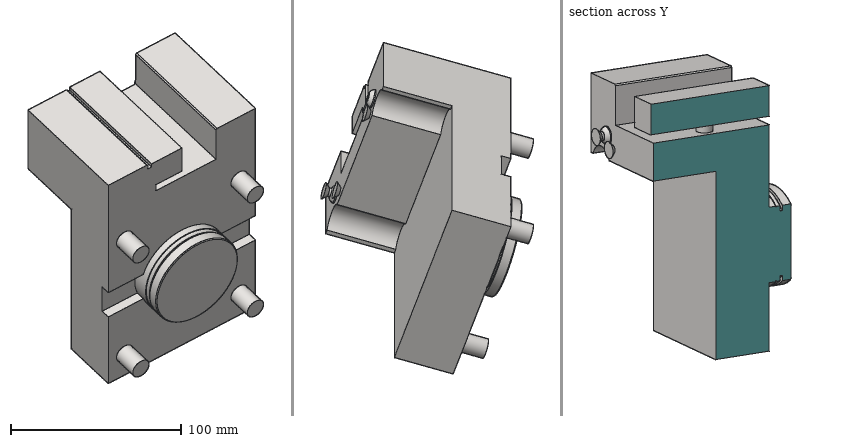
import cadquery as cq
import math


BODY_WIDTH = 108.0
BODY_HEIGHT = 163.5
BODY_DEPTH = 79.0
PLATE_THICKNESS = 36.5
HEAD_UNDERSIDE_Z = 115.0

CHANNEL_WIDTH = 50.0
CHANNEL_DEPTH = 25.0
CHANNEL_FLOOR_Z = BODY_HEIGHT - CHANNEL_DEPTH
CHANNEL_EDGE_CHAMFER = 0.8

BAR_WIDTH = CHANNEL_WIDTH / 2
BAR_OVERHANG = 1.5
BAR_TOP_Z = BODY_HEIGHT - 1.0
BAR_FOOT_WIDTH = 6.0
BAR_GAP = 5.0
BAR_NOTCH_WIDTH = 2.7
BAR_NOTCH_DEPTH = 2.5
SUPPORT_RADIUS = 5.0
SUPPORT_Y = -11.0

SPIGOT_RADIUS = 30.0
SPIGOT_LENGTH = 15.0
SPIGOT_CHAMFER = 0.6
SPIGOT_Z = 65.0
SPIGOT_GROOVE_WIDTH = 1.2
SPIGOT_GROOVE_DEPTH = 2.5
SEAL_START = 4.5
SEAL_WIDTH = 3.0
SEAL_CROWN = 0.5
KEYWAY_WIDTH = 20.0
KEYWAY_DEPTH = 6.0

SCREW_RADIUS = 6.0
SCREW_LENGTH = 16.0
SCREW_SPACING_Y = 84.0
SCREW_SPACING_Z = 94.0
CLEARANCE_RADIUS = 9.75

BUTTON_Y = 35.0
BUTTON_Z = 130.0
BUTTON_RADIUS = 5.5
BUTTON_RIM = 0.8
BUTTON_HEIGHT = 3.3
BUTTON_FLAT_RADIUS = 2.9
BUTTON_DOME_RATIO = 0.1
SOCKET_WIDTH = 4.0
SOCKET_DEPTH = 2.0
COUNTERSUNK_Y = 28.2
COUNTERSUNK_Z = 123.0
COUNTERSUNK_RADIUS = 5.1
COUNTERSUNK_HEIGHT = 2.85
SHANK_RADIUS = 2.6
NOZZLE_REACH = 7.55

EMBED = 1.0


def box(x_range, y_range, z_range):
    """Axis-aligned box between the given limits."""
    (x0, x1), (y0, y1), (z0, z1) = x_range, y_range, z_range
    return cq.Workplane("XY").box(x1 - x0, y1 - y0, z1 - z0, centered=False).translate((x0, y0, z0))


def rod(radius, x0, x1, y, z):
    """Cylinder along X from x0 to x1."""
    return cq.Workplane("YZ", origin=(x0, y, z)).circle(radius).extrude(x1 - x0)


def turned_about_x(profile, x, y, z):
    """Turn a closed (x, radius) half profile about the X direction, with its origin at (x, y, z)."""
    return profile.revolve(360, (0, 0, 0), (1, 0, 0)).translate((x, y, z))


def make_body():
    plate_front = BODY_DEPTH - PLATE_THICKNESS
    half_width = BODY_WIDTH / 2
    body = (
        cq.Workplane("XZ", origin=(0, half_width, 0))
        .moveTo(plate_front, 0)
        .lineTo(BODY_DEPTH, 0)
        .lineTo(BODY_DEPTH, BODY_HEIGHT)
        .lineTo(0, BODY_HEIGHT)
        .lineTo(0, HEAD_UNDERSIDE_Z)
        .lineTo(plate_front, HEAD_UNDERSIDE_Z)
        .close()
        .extrude(BODY_WIDTH)
    )
    for y in (-SCREW_SPACING_Y / 2, SCREW_SPACING_Y / 2):
        body = body.cut(rod(CLEARANCE_RADIUS, 0, plate_front, y, SPIGOT_Z + SCREW_SPACING_Z / 2))
    keyway = box(
        (BODY_DEPTH - KEYWAY_DEPTH, BODY_DEPTH),
        (-half_width, half_width),
        (SPIGOT_Z - KEYWAY_WIDTH / 2, SPIGOT_Z + KEYWAY_WIDTH / 2),
    )
    return body.cut(keyway).cut(make_channel())


def make_channel():
    """Channel to be removed, flaring at its mouth to chamfer the two top edges."""
    half = CHANNEL_WIDTH / 2
    flared = half + CHANNEL_EDGE_CHAMFER
    flare_z = BODY_HEIGHT - CHANNEL_EDGE_CHAMFER
    return (
        cq.Workplane("YZ")
        .moveTo(-half, CHANNEL_FLOOR_Z)
        .lineTo(half, CHANNEL_FLOOR_Z)
        .lineTo(half, flare_z)
        .lineTo(flared, BODY_HEIGHT)
        .lineTo(-flared, BODY_HEIGHT)
        .lineTo(-half, flare_z)
        .close()
        .extrude(BODY_DEPTH)
    )


def make_clamping_bar():
    wall_y = -CHANNEL_WIDTH / 2
    inner_y = wall_y + BAR_WIDTH
    foot_y = wall_y + BAR_FOOT_WIDTH
    notch_y = wall_y + BAR_NOTCH_WIDTH
    underside_z = CHANNEL_FLOOR_Z + BAR_GAP
    notch_z = BAR_TOP_Z - BAR_NOTCH_DEPTH
    bar = (
        cq.Workplane("YZ", origin=(-BAR_OVERHANG, 0, 0))
        .moveTo(wall_y, CHANNEL_FLOOR_Z)
        .lineTo(foot_y, CHANNEL_FLOOR_Z)
        .lineTo(foot_y, underside_z)
        .lineTo(inner_y, underside_z)
        .lineTo(inner_y, BAR_TOP_Z)
        .lineTo(notch_y, BAR_TOP_Z)
        .lineTo(notch_y, notch_z)
        .lineTo(wall_y, notch_z)
        .close()
        .extrude(BODY_DEPTH + BAR_OVERHANG)
    )
    support = (
        cq.Workplane("XY", origin=(BODY_DEPTH / 2, SUPPORT_Y, CHANNEL_FLOOR_Z - EMBED))
        .circle(SUPPORT_RADIUS)
        .extrude(BAR_GAP + 2 * EMBED)
    )
    return bar.union(support)


def make_spigot():
    """Spigot standing on the keyway floor, with a crowned seal ring and a narrow groove next to it."""
    floor_radius = SPIGOT_RADIUS - SPIGOT_GROOVE_DEPTH
    seal_edge_radius = SPIGOT_RADIUS - SEAL_CROWN
    seal_end = SEAL_START + SEAL_WIDTH
    groove_end = seal_end + SPIGOT_GROOVE_WIDTH
    profile = (
        cq.Workplane("XY")
        .moveTo(-KEYWAY_DEPTH, 0)
        .lineTo(-KEYWAY_DEPTH, SPIGOT_RADIUS)
        .lineTo(SEAL_START, SPIGOT_RADIUS)
        .lineTo(SEAL_START, seal_edge_radius)
        .threePointArc((SEAL_START + SEAL_WIDTH / 2, SPIGOT_RADIUS), (seal_end, seal_edge_radius))
        .lineTo(seal_end, floor_radius)
        .lineTo(groove_end, floor_radius)
        .lineTo(groove_end, SPIGOT_RADIUS)
        .lineTo(SPIGOT_LENGTH - SPIGOT_CHAMFER, SPIGOT_RADIUS)
        .lineTo(SPIGOT_LENGTH, SPIGOT_RADIUS - SPIGOT_CHAMFER)
        .lineTo(SPIGOT_LENGTH, 0)
        .close()
    )
    return turned_about_x(profile, BODY_DEPTH, 0, SPIGOT_Z)


def make_button_head(y):
    """Domed screw head on the front face."""
    chord_x = BUTTON_HEIGHT - BUTTON_RIM
    chord_r = BUTTON_RADIUS - BUTTON_FLAT_RADIUS
    chord = math.hypot(chord_x, chord_r)
    bulge = chord * BUTTON_DOME_RATIO
    mid_x = -(BUTTON_RIM + BUTTON_HEIGHT) / 2 - bulge * chord_r / chord
    mid_r = (BUTTON_RADIUS + BUTTON_FLAT_RADIUS) / 2 + bulge * chord_x / chord
    profile = (
        cq.Workplane("XY")
        .moveTo(EMBED, 0)
        .lineTo(EMBED, BUTTON_RADIUS)
        .lineTo(-BUTTON_RIM, BUTTON_RADIUS)
        .threePointArc((mid_x, mid_r), (-BUTTON_HEIGHT, BUTTON_FLAT_RADIUS))
        .lineTo(-BUTTON_HEIGHT, 0)
        .close()
    )
    return turned_about_x(profile, 0, y, BUTTON_Z)


def make_countersunk_head(y, z, reach, start_x):
    """Countersunk head flaring towards the front, on a shank that begins at start_x."""
    cone_x = COUNTERSUNK_HEIGHT - reach
    profile = (
        cq.Workplane("XY")
        .moveTo(start_x, 0)
        .lineTo(start_x, SHANK_RADIUS)
        .lineTo(cone_x, SHANK_RADIUS)
        .lineTo(-reach, COUNTERSUNK_RADIUS)
        .lineTo(-reach, 0)
        .close()
    )
    return turned_about_x(profile, 0, y, z)


def make_hex_socket(y):
    across_corners = SOCKET_WIDTH / math.cos(math.pi / 6)
    return (
        cq.Workplane("YZ", origin=(-BUTTON_HEIGHT, y, BUTTON_Z))
        .polygon(6, across_corners)
        .extrude(SOCKET_DEPTH)
    )


result = make_body().union(make_clamping_bar()).union(make_spigot())

for screw_y in (-SCREW_SPACING_Y / 2, SCREW_SPACING_Y / 2):
    for screw_z in (SPIGOT_Z - SCREW_SPACING_Z / 2, SPIGOT_Z + SCREW_SPACING_Z / 2):
        screw = rod(SCREW_RADIUS, BODY_DEPTH - EMBED, BODY_DEPTH + SCREW_LENGTH, screw_y, screw_z)
        result = result.union(screw)

for side in (-1, 1):
    result = result.union(
        make_countersunk_head(side * COUNTERSUNK_Y, COUNTERSUNK_Z, COUNTERSUNK_HEIGHT, EMBED)
    )
    result = result.union(make_button_head(side * BUTTON_Y))

result = result.cut(make_hex_socket(-BUTTON_Y))
result = result.union(make_countersunk_head(BUTTON_Y, BUTTON_Z, NOZZLE_REACH, EMBED - BUTTON_HEIGHT))